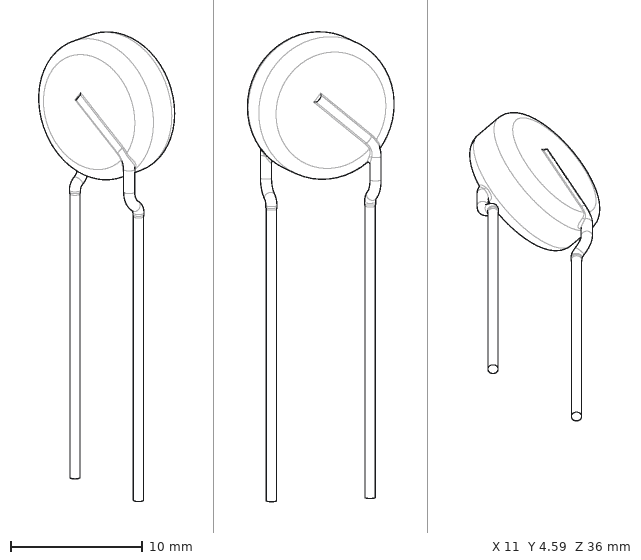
import cadquery as cq
import math

total_height = 36.0
disc_diameter = 11.0
disc_thickness = 4.2
rim_radius = 1.0

bent_diameter = 0.85
pin_diameter = 0.8
lead_offset_x = 3.75
upper_offset_y = 1.87
pin_offset_y = 0.75

face_bend_bottom = -3.9
face_bend_radius = 1.85
face_bend_angle = math.radians(50)
lead_tip_x = -1.0

coating_radius = 0.15
skin_tolerance = 0.0005
edge_midpoint = 0.5

kink_top = -5.7
kink_angle = math.radians(60)
kink_radius_upper = 1.5
collar_length = 0.15
taper_length = 0.15

pin_bottom = disc_diameter / 2 - total_height
kink_shift = upper_offset_y - pin_offset_y
kink_radius_lower = kink_shift / (1 - math.cos(kink_angle)) - kink_radius_upper
kink_bottom = kink_top - (kink_radius_upper + kink_radius_lower) * math.sin(kink_angle)
pin_top = kink_bottom - collar_length - taper_length


def arc_step(radius, angle):
    """Return the sideways and vertical travel of an arc that starts vertical."""
    return radius * (1 - math.cos(angle)), radius * math.sin(angle)


def make_disc():
    back = cq.Workplane("XZ", origin=(0, disc_thickness / 2, 0))
    disc = back.circle(disc_diameter / 2).extrude(disc_thickness)
    return disc.edges().fillet(rim_radius)


def make_face_wire():
    """Upper lead: straight beside the disc, then bent diagonally across its face."""
    mid_x, mid_z = arc_step(face_bend_radius, face_bend_angle / 2)
    end_x, end_z = arc_step(face_bend_radius, face_bend_angle)
    bend_end_x = lead_offset_x - end_x
    bend_end_z = face_bend_bottom + end_z
    lead_tip_z = bend_end_z + (bend_end_x - lead_tip_x) / math.tan(face_bend_angle)
    path = (
        cq.Workplane("XZ", origin=(0, -upper_offset_y, 0))
        .moveTo(lead_offset_x, kink_top)
        .lineTo(lead_offset_x, face_bend_bottom)
        .threePointArc((lead_offset_x - mid_x, face_bend_bottom + mid_z), (bend_end_x, bend_end_z))
        .lineTo(lead_tip_x, lead_tip_z)
    )
    start = cq.Workplane("XY", origin=(lead_offset_x, -upper_offset_y, kink_top))
    return start.circle(bent_diameter / 2).sweep(path)


def make_kink():
    """S-bend in the YZ plane, from the upper lead to the pin."""
    upper_mid_y, upper_mid_z = arc_step(kink_radius_upper, kink_angle / 2)
    joint_y, joint_z = arc_step(kink_radius_upper, kink_angle)
    lower_mid_y, lower_mid_z = arc_step(kink_radius_lower, kink_angle / 2)
    path = (
        cq.Workplane("YZ", origin=(lead_offset_x, 0, 0))
        .moveTo(-upper_offset_y, kink_top)
        .threePointArc(
            (-upper_offset_y + upper_mid_y, kink_top - upper_mid_z),
            (-upper_offset_y + joint_y, kink_top - joint_z),
        )
        .threePointArc(
            (-pin_offset_y - lower_mid_y, kink_bottom + lower_mid_z),
            (-pin_offset_y, kink_bottom),
        )
    )
    start = cq.Workplane("XY", origin=(lead_offset_x, -upper_offset_y, kink_top))
    return start.circle(bent_diameter / 2).sweep(path)


def make_pin():
    """Short collar and taper below the S-bend, then the straight pin."""
    pin = (
        cq.Workplane("XY", origin=(lead_offset_x, -pin_offset_y, pin_bottom))
        .circle(pin_diameter / 2)
        .extrude(pin_top - pin_bottom)
    )
    taper = (
        cq.Workplane("XY", origin=(lead_offset_x, -pin_offset_y, pin_top))
        .circle(pin_diameter / 2)
        .workplane(offset=taper_length)
        .circle(bent_diameter / 2)
        .loft()
    )
    collar = taper.faces(">Z").workplane().circle(bent_diameter / 2).extrude(collar_length)
    return pin.union(collar)


lead = make_face_wire().union(make_kink()).union(make_pin())
opposite_lead = lead.rotate((0, 0, 0), (0, 0, 1), 180)

disc = make_disc()
bare_part = disc.union(lead).union(opposite_lead)


def is_junction(edge):
    """True for an edge that lies on the skin of the disc and on the skin of a lead."""
    point = cq.Vertex.makeVertex(*edge.positionAt(edge_midpoint).toTuple())
    on_disc = point.distance(disc.val().Shells()[0]) < skin_tolerance
    on_lead = any(
        point.distance(wire.val().Shells()[0]) < skin_tolerance for wire in (lead, opposite_lead)
    )
    return on_disc and on_lead


result = bare_part.edges().filter(is_junction).fillet(coating_radius)